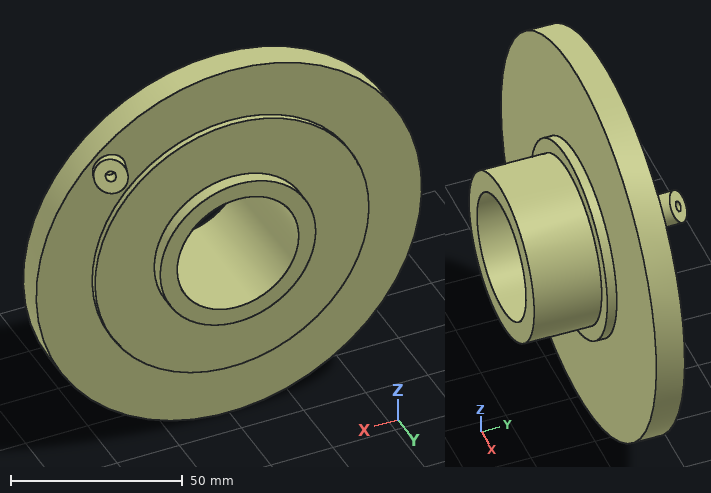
import cadquery as cq
import math

plate_diameter = 124.0
plate_thickness = 8.9
collar_diameter = 61.0
collar_thickness = 3.0
sleeve_diameter = 52.1
sleeve_length = 21.1
rear_step_diameter = 88.0
rear_step_thickness = 2.0
rear_boss_diameter = 50.0
rear_boss_length = 4.1
bore_diameter = 39.0

nipple_diameter = 9.9
nipple_tip_offset = 40.9
nipple_tip_height = 6.2
nipple_lean = 28.0
nipple_tip_lean = 42.0
nipple_overrun = 6.2
nipple_root_depth = 3.7
nipple_hole_diameter = 3.0
nipple_hole_depth = 6.2


def disc(diameter, y_start, length):
    """Cylinder on the Y axis running from y_start towards +Y."""
    solid = cq.Solid.makeCylinder(diameter / 2, length, cq.Vector(0, y_start, 0), cq.Vector(0, 1, 0))
    return cq.Workplane(obj=solid)


def leaning_direction(angle):
    """Unit vector tilted from +Y by angle, equally towards +X and +Z."""
    side = math.sin(math.radians(angle)) / math.sqrt(2)
    return cq.Vector(side, math.cos(math.radians(angle)), side)


def make_body():
    collar_front = -plate_thickness - collar_thickness
    body = disc(plate_diameter, -plate_thickness, plate_thickness)
    body = body.union(disc(collar_diameter, collar_front, collar_thickness))
    body = body.union(disc(sleeve_diameter, collar_front - sleeve_length, sleeve_length))
    body = body.union(disc(rear_step_diameter, 0, rear_step_thickness))
    return body.union(disc(rear_boss_diameter, rear_step_thickness, rear_boss_length))


def cut_bore(body):
    bore_start = -plate_thickness - collar_thickness - sleeve_length
    bore_length = rear_step_thickness + rear_boss_length - bore_start
    return body.cut(disc(bore_diameter, bore_start, bore_length))


tip = cq.Vector(nipple_tip_offset, nipple_tip_height, nipple_tip_offset)
axis = leaning_direction(nipple_lean)


def make_nipple():
    root_distance = (nipple_tip_height + nipple_root_depth) / axis.y
    root = tip - axis * root_distance
    length = root_distance + nipple_overrun
    nipple = cq.Workplane(obj=cq.Solid.makeCylinder(nipple_diameter / 2, length, root, axis))
    tip_plane = cq.Plane(origin=tip, normal=leaning_direction(nipple_tip_lean))
    trim_size = 2 * nipple_diameter
    trim = cq.Workplane(tip_plane).rect(trim_size, trim_size).extrude(trim_size)
    return nipple.cut(trim)


def make_nipple_hole():
    hole_start = tip - axis * nipple_hole_depth
    hole_length = nipple_hole_depth + nipple_overrun
    return cq.Workplane(obj=cq.Solid.makeCylinder(nipple_hole_diameter / 2, hole_length, hole_start, axis))


result = cut_bore(make_body()).union(make_nipple()).cut(make_nipple_hole())